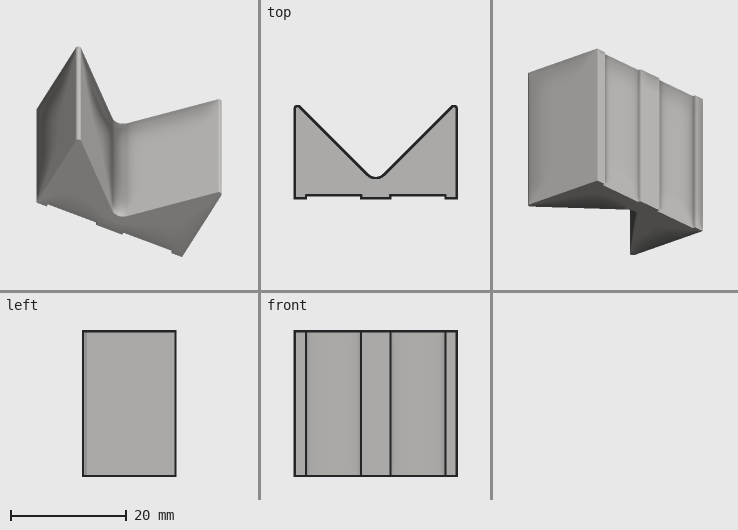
import cadquery as cq
import math

width = 28.0
depth = 16.0
height = 25.0

tip_radius = 0.5
valley_radius = 2.0

relief_depth = 0.5
end_pad_width = 2.0
center_pad_width = 5.0

half_width = width / 2
sharp_tip_y = depth + tip_radius * math.sqrt(2)
sharp_valley_y = sharp_tip_y - half_width
relief_width = half_width - end_pad_width - center_pad_width / 2
relief_center_x = (center_pad_width + relief_width) / 2


def v_block():
    """Extruded block with the rounded V groove."""
    block = (
        cq.Workplane("XY")
        .moveTo(-half_width, 0)
        .lineTo(half_width, 0)
        .lineTo(half_width, sharp_tip_y)
        .lineTo(0, sharp_valley_y)
        .lineTo(-half_width, sharp_tip_y)
        .close()
        .extrude(height)
    )
    tip_edges = block.edges("|Z and >Y")
    block = tip_edges.fillet(tip_radius)
    valley_edge = block.edges(cq.selectors.NearestToPointSelector((0, sharp_valley_y, height / 2)))
    return valley_edge.fillet(valley_radius)


def relief_channels():
    """Two full-height channels, one on each side of the center pad."""
    return (
        cq.Workplane("XY")
        .pushPoints([(-relief_center_x, 0), (relief_center_x, 0)])
        .rect(relief_width, 2 * relief_depth)
        .extrude(height)
    )


result = v_block().cut(relief_channels())